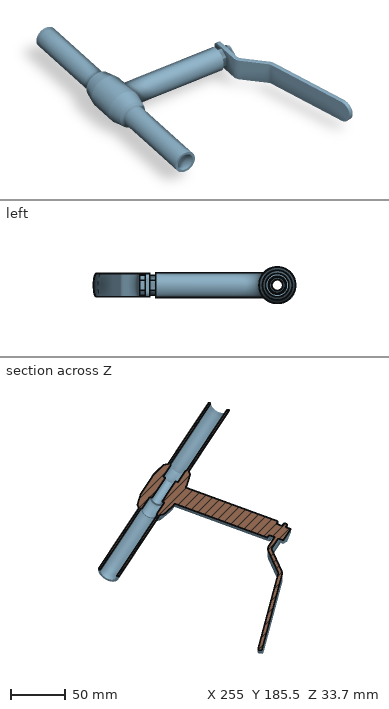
import cadquery as cq
import math

overall_length = 255.0

pipe_half_length = 115.0
pipe_diameter = 21.5
pipe_bore = 16.5

body_diameter = 33.7
barrel_half_length = 14.3
taper_end_x = 27.8
taper_end_diameter = 27.3
body_half_length = 30.3
ball_bore = 10.0
seat_bore = 14.8

housing_diameter = 23.0
housing_top_y = 111.7
hex_across_flats = 16.0
hex_top_y = 126.2

lever_width = 21.5
lever_thickness = 4.0
lever_corner_radius = 4.8
lever_start_x = -12.0
lever_bottom_y = 117.0
lower_bend_x = 23.5
lever_bend_radius = 5.0
upper_bend_x = 46.2
rise_angle = math.radians(45)
grip_angle = math.radians(15)
lever_tip_x = overall_length - pipe_half_length


def make_body():
    """Body and pipe as one revolved solid, before boring."""
    half_profile = [
        (pipe_half_length, pipe_diameter / 2),
        (body_half_length, pipe_diameter / 2),
        (taper_end_x, taper_end_diameter / 2),
        (barrel_half_length, body_diameter / 2),
    ]
    mirrored = [(-x, r) for x, r in reversed(half_profile)]
    outline = [(pipe_half_length, 0)] + half_profile + mirrored + [(-pipe_half_length, 0)]
    return cq.Workplane("XY").polyline(outline).close().revolve(360, (0, 0, 0), (1, 0, 0))


def bore_body(solid):
    """Narrow bore through the ball, stepping out to the seat bore and the pipe bore on both sides."""
    yz = cq.Workplane("YZ")
    solid = solid.cut(yz.circle(ball_bore / 2).extrude(pipe_half_length, both=True))
    bore_steps = [
        (seat_bore, barrel_half_length),
        (pipe_bore, body_half_length),
    ]
    for side in (-1, 1):
        for diameter, start_x in bore_steps:
            start = yz.workplane(offset=side * start_x)
            solid = solid.cut(start.circle(diameter / 2).extrude(side * (pipe_half_length - start_x)))
    return solid


def make_stem():
    """Round housing rising from the body axis, topped by the hexagonal spindle."""
    axis_plane = cq.Workplane("XZ")
    housing = axis_plane.circle(housing_diameter / 2).extrude(-housing_top_y)
    corner_diameter = hex_across_flats / math.cos(math.pi / 6)
    spindle = (
        axis_plane.workplane(offset=-housing_top_y)
        .transformed(rotate=(0, 0, 90))
        .polygon(6, corner_diameter)
        .extrude(housing_top_y - hex_top_y)
    )
    return housing.union(spindle)


def make_lever():
    """Flat bar bent twice, with rounded corners at the hub and a round grip tip."""
    upper_bend_y = lever_bottom_y + (upper_bend_x - lower_bend_x) * math.tan(rise_angle)
    tip_y = upper_bend_y + (lever_tip_x - upper_bend_x) * math.tan(grip_angle)

    lower_shift = lever_thickness * math.tan(rise_angle / 2)
    mean_angle = (rise_angle + grip_angle) / 2
    miter = lever_thickness / math.cos((rise_angle - grip_angle) / 2)
    lower_outside = (lower_bend_x, lever_bottom_y)
    lower_inside = (lower_bend_x - lower_shift, lever_bottom_y + lever_thickness)
    upper_inside = (upper_bend_x, upper_bend_y)
    upper_outside = (
        upper_bend_x - miter * math.sin(mean_angle),
        upper_bend_y + miter * math.cos(mean_angle),
    )
    outline = [
        (lever_start_x, lever_bottom_y),
        lower_outside,
        upper_inside,
        (lever_tip_x, tip_y),
        (lever_tip_x - lever_thickness * math.sin(grip_angle), tip_y + lever_thickness * math.cos(grip_angle)),
        upper_outside,
        lower_inside,
        (lever_start_x, lever_bottom_y + lever_thickness),
    ]
    bar = cq.Workplane("XY").polyline(outline).close().extrude(lever_width / 2, both=True)
    bar = bar.edges("|Y").edges("<X").fillet(lever_corner_radius)

    outer_radius = lever_bend_radius + lever_thickness
    bends = [
        (lower_inside, lever_bend_radius),
        (lower_outside, outer_radius),
        (upper_inside, lever_bend_radius),
        (upper_outside, outer_radius),
    ]
    for (x, y), radius in bends:
        bar = bar.edges(cq.selectors.NearestToPointSelector((x, y, 0))).fillet(radius)

    grip_plane = cq.Plane(
        origin=(lever_tip_x, tip_y, 0),
        xDir=(math.cos(grip_angle), math.sin(grip_angle), 0),
        normal=(-math.sin(grip_angle), math.cos(grip_angle), 0),
    )
    tip_radius = lever_width / 2
    tip_waste = (
        cq.Workplane(grip_plane)
        .center(-tip_radius / 2, 0)
        .rect(tip_radius, lever_width)
        .extrude(lever_thickness)
        .cut(cq.Workplane(grip_plane).center(-tip_radius, 0).circle(tip_radius).extrude(lever_thickness))
    )
    return bar.cut(tip_waste)


valve = make_body().union(make_stem())
result = bore_body(valve).union(make_lever())